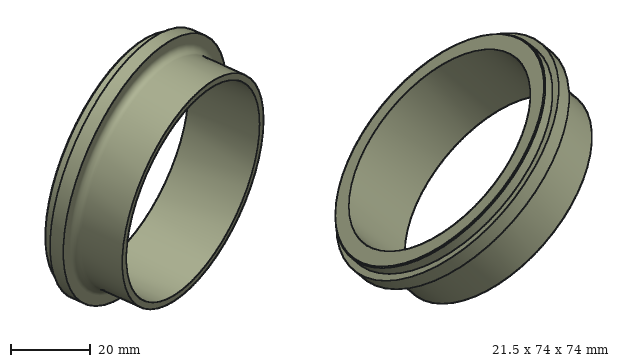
import cadquery as cq

flange_diameter = 74.0
lip_diameter = 69.9
sleeve_diameter = 64.1
bore_diameter = 60.3

total_length = 21.5
lip_length = 3.0
flange_thickness = 4.0

lip_chamfer = 0.3
root_fillet = 2.0

flange_back = lip_length + flange_thickness
lip_radius = lip_diameter / 2
flange_radius = flange_diameter / 2
sleeve_radius = sleeve_diameter / 2
bore_radius = bore_diameter / 2

section = (
    cq.Workplane("XY")
    .moveTo(0, bore_radius)
    .lineTo(0, lip_radius - lip_chamfer)
    .lineTo(lip_chamfer, lip_radius)
    .lineTo(lip_length, lip_radius)
    .lineTo(lip_length, flange_radius)
    .lineTo(flange_back, flange_radius)
    .lineTo(flange_back, sleeve_radius + root_fillet)
    .radiusArc((flange_back + root_fillet, sleeve_radius), -root_fillet)
    .lineTo(total_length, sleeve_radius)
    .lineTo(total_length, bore_radius)
    .close()
)

result = section.revolve(360, (0, 0, 0), (1, 0, 0))